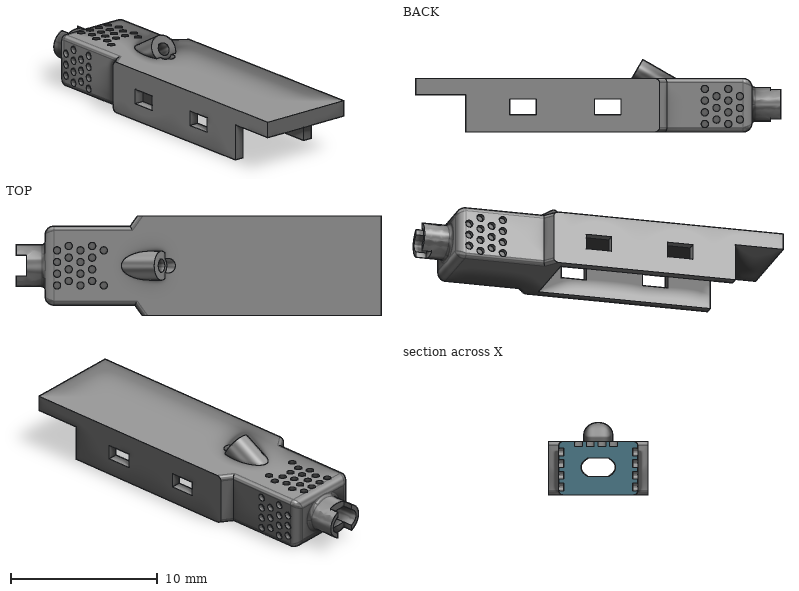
import cadquery as cq
import math

length = 24.9
body_width = 6.8
body_height = 3.65
plate_thickness = 1.12
skirt_end_x = 21.5

neck_front_x = 1.97
neck_width = 5.4
shoulder_run = 0.5
left_shoulder_x = 7.77
right_shoulder_x = 8.1
front_round = 0.6
edge_round = 0.3

nose_width = 2.86
nose_height = 2.32
nose_root_round = 0.22
nose_z = 1.9
fork_slot_width = 1.4
fork_slot_depth = 0.7

bore_width = 2.35
bore_oval_height = 1.55
bore_flat_height = 1.25

wall = 0.7
window_length = 1.8
window_height = 1.05
window_bottom_z = 1.2
window_starts_x = (10.9, 16.68)

boss_diameter = 2.0
guide_diameter = 0.9
boss_tilt = 30.0
boss_peak_z = 4.95
boss_end_x = 9.9
relief_x = 10.35
relief_diameter = 1.0
relief_depth = 0.2

dimple_diameter = 0.5
dimple_depth = 0.35
dimple_pitch = 0.8
dimple_start_x = 2.8
top_stagger = 0.15
side_dimple_low_z = 0.55
side_stagger = 0.3
full_rows = (-1.5, -0.5, 0.5, 1.5)
outer_rows = (-1.5, 1.5)
top_columns = (full_rows, full_rows, full_rows, full_rows, outer_rows)
side_column_counts = (3, 4, 3, 4)

margin = 0.02

half_body = body_width / 2
half_neck = neck_width / 2
plate_bottom_z = body_height - plate_thickness
cavity_front_x = right_shoulder_x + shoulder_run + wall
tilt = math.radians(boss_tilt)
boss_axis = cq.Vector(math.cos(tilt), 0, math.sin(tilt))
relief_ball_radius = (relief_diameter ** 2 / 4 + relief_depth ** 2) / (2 * relief_depth)
relief_ball_z = body_height - relief_depth + relief_ball_radius
boss_end_z = boss_peak_z - boss_diameter / 2 * math.cos(tilt)


def box(x_start, x_end, width, z_low, z_high):
    """Box centred on Y = 0."""
    size_x = x_end - x_start
    return (
        cq.Workplane("XY", origin=(x_start + size_x / 2, 0, z_low))
        .box(size_x, width, z_high - z_low, centered=(True, True, False))
    )


def make_body():
    """Stepped block with rounded neck edges and the rear underside cut away."""
    outline = [
        (neck_front_x, -half_neck),
        (right_shoulder_x, -half_neck),
        (right_shoulder_x + shoulder_run, -half_body),
        (length, -half_body),
        (length, half_body),
        (left_shoulder_x + shoulder_run, half_body),
        (left_shoulder_x, half_neck),
        (neck_front_x, half_neck),
    ]
    block = cq.Workplane("XY").polyline(outline).close().extrude(body_height)

    front_zone = cq.selectors.BoxSelector(
        (neck_front_x + margin, -half_body + margin, -margin),
        (cavity_front_x, half_body - margin, body_height + margin),
    )
    block = block.edges("#Z").edges(front_zone).fillet(edge_round)
    block = block.faces("<X").edges().fillet(front_round)
    return block.cut(box(skirt_end_x, length, body_width, 0, plate_bottom_z))


def add_nose(part):
    """Oval nose on the neck face, with a root round where they meet."""
    nose = (
        cq.Workplane("YZ", origin=(0, 0, nose_z))
        .ellipse(nose_width / 2, nose_height / 2)
        .extrude(neck_front_x + front_round)
    )
    half_zone_y = nose_width / 2 + margin
    half_zone_z = nose_height / 2 + margin
    root_zone = cq.selectors.BoxSelector(
        (neck_front_x - margin, -half_zone_y, nose_z - half_zone_z),
        (neck_front_x + front_round, half_zone_y, nose_z + half_zone_z),
    )
    return part.union(nose).edges(root_zone).fillet(nose_root_round)


def cut_passage(part):
    """Flattened oval bore running from the nose tip into the cavity."""
    bore = (
        cq.Workplane("YZ", origin=(0, 0, nose_z))
        .ellipse(bore_width / 2, bore_oval_height / 2)
        .extrude(cavity_front_x)
    )
    flats = box(0, cavity_front_x, bore_width,
                nose_z - bore_flat_height / 2, nose_z + bore_flat_height / 2)
    fork_slot = box(0, fork_slot_depth, fork_slot_width, 0, body_height)
    return part.cut(bore.intersect(flats)).cut(fork_slot)


def cut_cavity(part):
    """Space under the plate, open below and behind, with windows in both walls."""
    part = part.cut(box(cavity_front_x, skirt_end_x, body_width - 2 * wall, 0, plate_bottom_z))
    for x in window_starts_x:
        part = part.cut(box(x, x + window_length, body_width,
                            window_bottom_z, window_bottom_z + window_height))
    return part


def slanted_rod(x, z, diameter, run):
    """Rod that ends at (x, 0, z) and runs back down along the boss axis."""
    plane = cq.Plane(origin=(x, 0, z), xDir=(0, 1, 0), normal=-boss_axis)
    return cq.Workplane(plane).circle(diameter / 2).extrude(run)


def add_boss(part):
    """Round-bottomed relief in the plate, the slanted boss over it and its guide hole."""
    relief_ball = cq.Workplane("XY", origin=(relief_x, 0, relief_ball_z)).sphere(relief_ball_radius)
    part = part.cut(relief_ball)

    boss_run = (boss_end_z - nose_z) / math.sin(tilt)
    boss = slanted_rod(boss_end_x, boss_end_z, boss_diameter, boss_run)
    above_cavity = box(0, length, body_width, plate_bottom_z, boss_peak_z)
    part = part.union(boss.intersect(above_cavity))
    return part.cut(slanted_rod(boss_end_x, boss_end_z, guide_diameter, boss_run))


def dimple_pins(workplane, points, depth):
    """Pins that cut one group of dimples."""
    return workplane.pushPoints(points).circle(dimple_diameter / 2).extrude(depth)


def cut_dimples(part):
    """Staggered rows of grip dimples on the neck top and both neck sides."""
    top = cq.Workplane("XY", origin=(0, 0, body_height))
    for column, rows in enumerate(top_columns):
        x = dimple_start_x + column * dimple_pitch
        shift = -top_stagger if column % 2 == 0 else top_stagger
        points = [(x, shift + row * dimple_pitch) for row in rows]
        part = part.cut(dimple_pins(top, points, -dimple_depth))

    for side in (-1, 1):
        face = cq.Workplane("XZ", origin=(0, side * half_neck, 0))
        for column, count in enumerate(side_column_counts):
            x = dimple_start_x + column * dimple_pitch
            first_z = side_dimple_low_z + (side_stagger if column % 2 == 0 else 0)
            points = [(x, first_z + row * dimple_pitch) for row in range(count)]
            part = part.cut(dimple_pins(face, points, side * dimple_depth))
    return part


result = add_nose(make_body())
result = add_boss(result)
result = cut_passage(result)
result = cut_cavity(result)
result = cut_dimples(result)